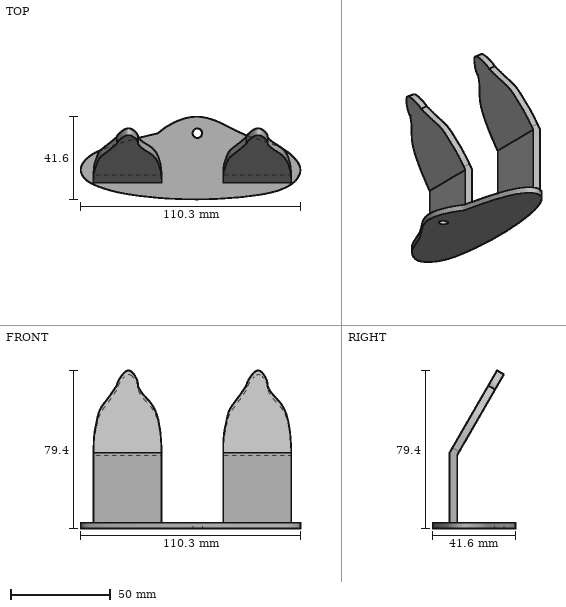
import cadquery as cq
import math

plate_length = 110.26
plate_depth = 41.59
plate_thickness = 3.0

crest = (3.5, plate_depth / 2)
front_point = (3.5, -plate_depth / 2)
left_end = (-plate_length / 2, -6.1)
right_end = (plate_length / 2, -6.1)
shoulder = (-16.3, 12.5)
left_back_rim = [(-26.2, 10.2), (-45.2, 4.0), (-51.8, 0.0)]
left_front_rim = [(-53.5, -9.9), (-47.8, -13.7), (-39.9, -16.4), (-25.9, -19.0)]
right_front_rim = [(23.9, -19.8), (37.9, -17.9), (47.8, -14.8), (53.5, -10.3)]
right_back_rim = [(51.8, 0.3), (45.8, 4.9), (27.9, 11.4), (13.9, 18.2)]
crest_left_slope = [(-8.0, 18.0)]

hole_diameter = 4.67
hole_center = (3.4, 12.45)

total_height = 79.4
hook_spacing = 65.0
hooks_middle_x = 0.9
hook_width = 34.2
hook_thickness = 4.0
hook_front_y = -12.4
post_height = 35.0
leaf_angle = 30.0
bend_z = plate_thickness + post_height
leaf_length = (total_height - bend_z) / math.cos(math.radians(leaf_angle))

straight_side_height = 3.1
neck_height = 39.0
leaf_tip = (0.6, leaf_length)
right_neck = (5.2, neck_height)
left_neck = (-5.5, neck_height)
right_leaf_side = [(16.7, 10.4), (15.7, 18.0), (11.8, 28.8), (8.2, 33.4)]
left_leaf_side = [(-7.6, 35.3), (-11.3, 29.5), (-13.6, 25.7), (-15.3, 19.9), (-16.6, 12.3)]
right_tip_side = (3.6, 44.9)
left_tip_side = (-2.9, 44.9)


def base_plate():
    """Freeform plate: one smooth curve around the rim, with its only corner at the shoulder."""
    rim = [
        shoulder,
        *left_back_rim,
        left_end,
        *left_front_rim,
        front_point,
        *right_front_rim,
        right_end,
        *right_back_rim,
        crest,
        *crest_left_slope,
        shoulder,
    ]
    return cq.Workplane("XY").spline(rim).close().extrude(plate_thickness)


def hanging_hole():
    """Cutter for the through hole below the crest."""
    return cq.Workplane("XY").center(*hole_center).circle(hole_diameter / 2).extrude(plate_thickness)


def post():
    """Upright rectangular post, with its front face on Y = 0 and its top on Z = 0."""
    block = cq.Workplane("XY").box(hook_width, hook_thickness, post_height, centered=(True, False, False))
    return block.translate((0, 0, -post_height))


def leaf():
    """Slightly lopsided pointed leaf, drawn upright and then leaned back about its front lower edge."""
    half_width = hook_width / 2
    left_side_top = (-half_width, straight_side_height)
    right_side_top = (half_width, straight_side_height)
    upright = (
        cq.Workplane("XZ")
        .moveTo(-half_width, 0)
        .lineTo(half_width, 0)
        .lineTo(*right_side_top)
        .spline([*right_leaf_side, right_neck], includeCurrent=True)
        .spline([right_tip_side, leaf_tip, left_tip_side, left_neck], includeCurrent=True)
        .spline([*left_leaf_side, left_side_top], includeCurrent=True)
        .close()
        .extrude(-hook_thickness)
    )
    return upright.rotate((0, 0, 0), (1, 0, 0), -leaf_angle)


result = base_plate().cut(hanging_hole())
hook = post().union(leaf())
for side in (-1, 1):
    hook_x = hooks_middle_x + side * hook_spacing / 2
    result = result.union(hook.translate((hook_x, hook_front_y, bend_z)))